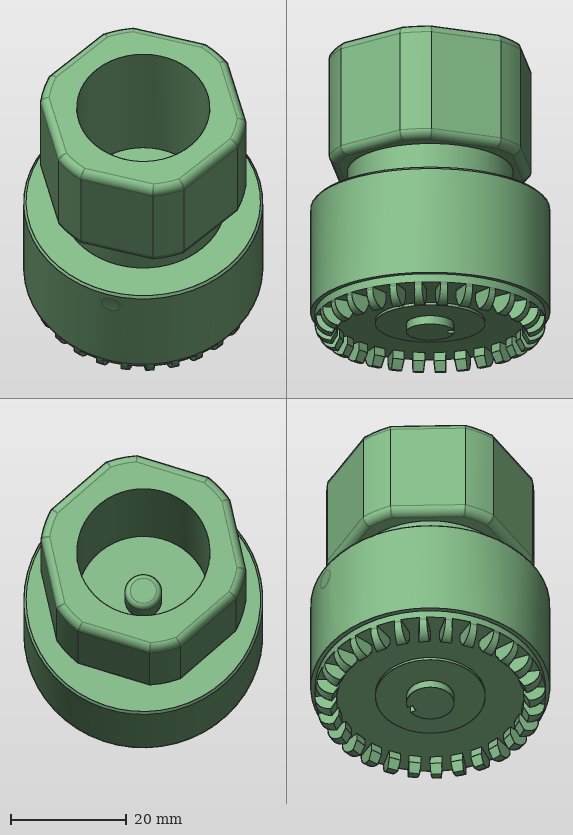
import cadquery as cq
import math

total_height = 51.3
tooth_height = 3.2
body_bottom = 4.65
body_top = 24.1
nut_height = 20.75
nut_bottom = total_height - nut_height

body_diameter = 41.3
body_radius = body_diameter / 2
body_chamfer = 0.4
neck_radius = 14.3
ring_outer_radius = 19.9
ring_inner_radius = 16.15
ring_outer_round = 2.8
bevel_width = 1.0
bevel_height = 1.7

tooth_count = 28
tooth_outer_width = 1.25

nut_across_flats = 33.4
nut_corner_radius = 17.9
nut_round = 1.5

bore_radius = 11.5
bore_floor = body_top
pin_radius = 3.2
pin_height = 5.15
pin_round = 0.9

hub_radius = 9.5
hub_bottom = 2.65
plug_radius = 4.1
plug_bottom = 1.15
notch_width = 1.35
notch_depth = 1.05
notch_angle = 216

dowel_radius = 1.7
dowel_height = 21.05
dowel_length = 4.1


def cylinder(radius, bottom, top):
    """Cylinder on the Z axis between two heights."""
    return cq.Workplane("XY").workplane(offset=bottom).circle(radius).extrude(top - bottom)


def make_body():
    """Lower ring, round body with a chamfered top edge, and neck."""
    ring = cylinder(ring_outer_radius, tooth_height, body_bottom)
    drum = cylinder(body_radius, body_bottom, body_top).faces(">Z").edges().chamfer(body_chamfer)
    neck = cylinder(neck_radius, body_top, nut_bottom)
    return ring.union(drum).union(neck)


def make_nut():
    """Hexagon with flats facing +Y and -Y, turned corners and rounded end edges."""
    across_corners = nut_across_flats / math.cos(math.radians(30))
    hexagon = cq.Workplane("XY").workplane(offset=nut_bottom).polygon(6, across_corners).extrude(nut_height)
    turned = hexagon.intersect(cylinder(nut_corner_radius, nut_bottom, total_height))
    return turned.faces("<Z or >Z").edges().fillet(nut_round)


def make_teeth():
    """Ring with a rounded outer and a bevelled inner lower edge, reduced to evenly spaced teeth."""
    blank = cylinder(ring_outer_radius, 0, body_bottom).faces("<Z").edges().fillet(ring_outer_round)
    core = cylinder(ring_inner_radius, 0, body_bottom)
    bevel = cq.Workplane(
        cq.Solid.makeCone(ring_inner_radius + bevel_width, ring_inner_radius, bevel_height)
    )
    lip = blank.cut(core).cut(bevel)

    pitch_angle = 360 / tooth_count
    half_width_outside = tooth_outer_width / 2
    half_width_inside = half_width_outside + (ring_outer_radius - ring_inner_radius) * math.tan(
        math.radians(pitch_angle / 2)
    )
    tooth = (
        cq.Workplane("XY")
        .polyline(
            [
                (ring_inner_radius, -half_width_inside),
                (ring_outer_radius, -half_width_outside),
                (ring_outer_radius, half_width_outside),
                (ring_inner_radius, half_width_inside),
            ]
        )
        .close()
        .extrude(body_bottom)
        .intersect(lip)
    )

    teeth = cq.Workplane("XY")
    for index in range(tooth_count):
        teeth = teeth.add(tooth.rotate((0, 0, 0), (0, 0, 1), (index + 0.5) * pitch_angle))
    return teeth.combine()


def make_hub():
    """Flat hub plate with a smaller notched plug below it."""
    plate = cylinder(hub_radius, hub_bottom, body_bottom)
    plug = cylinder(plug_radius, plug_bottom, hub_bottom)
    notch = (
        cq.Workplane("XY")
        .workplane(offset=plug_bottom)
        .center(plug_radius, 0)
        .rect(2 * notch_depth, notch_width)
        .extrude(hub_bottom - plug_bottom)
        .rotate((0, 0, 0), (0, 0, 1), notch_angle)
    )
    return plate.union(plug.cut(notch))


def make_pin():
    """Contact pin with a rounded top edge."""
    pin = cylinder(pin_radius, bore_floor, bore_floor + pin_height)
    return pin.faces(">Z").edges().fillet(pin_round)


def make_dowel():
    """Radial dowel whose outer end follows the round side of the body."""
    dowel = (
        cq.Workplane("XZ", origin=(0, 0, dowel_height))
        .workplane(offset=body_radius - dowel_length)
        .circle(dowel_radius)
        .extrude(2 * dowel_length)
    )
    return dowel.intersect(cylinder(body_radius, body_bottom, body_top))


bore = cylinder(bore_radius, bore_floor, total_height)
shell = make_body().union(make_nut()).cut(bore)
assembly = shell.union(make_teeth()).union(make_hub()).union(make_pin())

result = assembly.union(make_dowel(), clean=False)